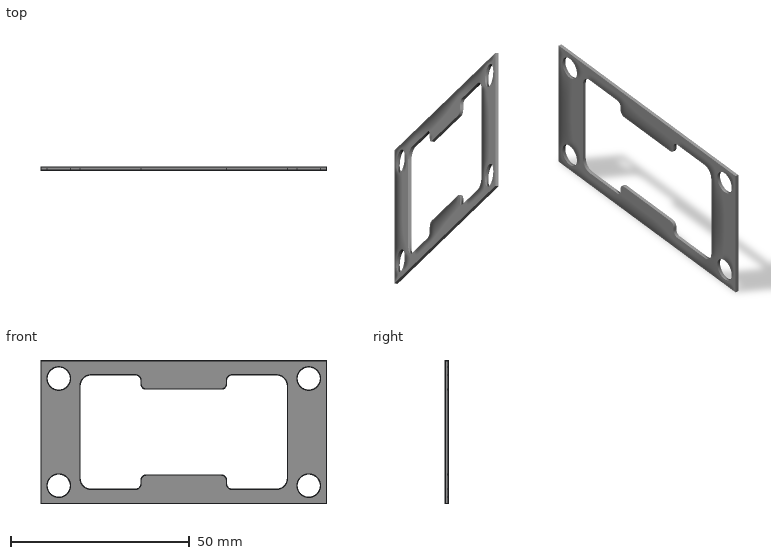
import cadquery as cq

length = 80.0
height = 40.0
thickness = 1.0

hole_diameter = 6.5
hole_spacing_x = 70.0
hole_spacing_z = 30.0

window_length = 58.0
window_height = 32.0
window_corner_radius = 3.0
tab_length = 24.0
tab_gap = 24.0
tab_corner_radius = 1.5


def plate():
    return cq.Workplane("XZ").rect(length, height).extrude(thickness / 2, both=True)


def mounting_holes():
    return (
        cq.Workplane("XZ")
        .rect(hole_spacing_x, hole_spacing_z, forConstruction=True)
        .vertices()
        .circle(hole_diameter / 2)
        .extrude(thickness, both=True)
    )


def window():
    opening = (
        cq.Workplane("XZ")
        .rect(window_length, window_height)
        .extrude(thickness, both=True)
        .edges("|Y")
        .fillet(window_corner_radius)
    )
    tab_depth = (window_height - tab_gap) / 2
    tab_center = (window_height + tab_gap) / 4
    tabs = (
        cq.Workplane("XZ")
        .pushPoints([(0, -tab_center), (0, tab_center)])
        .rect(tab_length, tab_depth)
        .extrude(thickness, both=True)
    )
    half_box_length = (tab_length + window_length) / 4
    tab_edges = cq.selectors.BoxSelector(
        (-half_box_length, -thickness, -window_height),
        (half_box_length, thickness, window_height),
    )
    return opening.cut(tabs).edges("|Y").edges(tab_edges).fillet(tab_corner_radius)


result = plate().cut(mounting_holes()).cut(window())